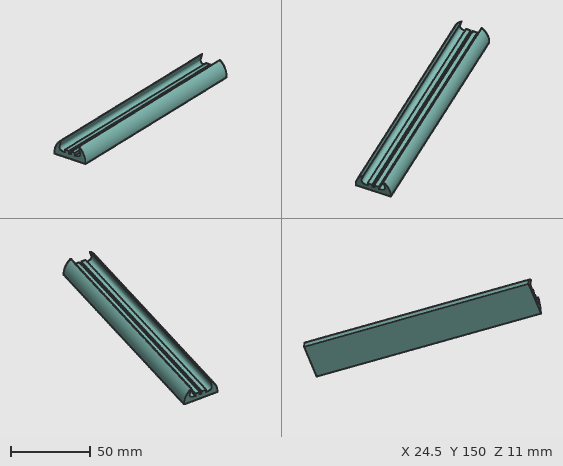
import cadquery as cq

length = 150.0
base_width = 24.5
height = 11.0

lip_half_gap = 6.9
flank_mid_x = 11.1
flank_mid_z = 6.0

floor_z = 3.5
floor_start_x = 3.9
corner_x = 8.8
corner_z = 4.2
corner_radius = 2.4

rib_outer_x = floor_start_x
groove_half_width = 0.8
rib_top_z = 5.4
groove_floor_z = 3.6


def extrude_along_y(sketch):
    """Extrude an XZ outline over the rail length, centred on Y = 0."""
    return sketch.extrude(length / 2, both=True)


def make_body():
    """Solid rail with curved flanks and a flat top between the lips."""
    outline = (
        cq.Workplane("XZ")
        .moveTo(-base_width / 2, 0)
        .lineTo(base_width / 2, 0)
        .threePointArc((flank_mid_x, flank_mid_z), (lip_half_gap, height))
        .lineTo(-lip_half_gap, height)
        .threePointArc((-flank_mid_x, flank_mid_z), (-base_width / 2, 0))
        .close()
    )
    return extrude_along_y(outline)


def make_channel():
    """Volume of the open channel, with its two lower corners rounded."""
    right_side = [
        (floor_start_x, floor_z),
        (corner_x, corner_z),
        (lip_half_gap, height),
    ]
    left_side = [(-x, z) for x, z in reversed(right_side)]
    channel = extrude_along_y(cq.Workplane("XZ").polyline(right_side + left_side).close())
    for corner in ("<X", ">X"):
        channel = channel.edges("|Y").edges(corner).fillet(corner_radius)
    return channel


def make_rib(side):
    """Rectangular rib on one side of the groove; side is -1 or 1."""
    rib_width = rib_outer_x - groove_half_width
    rib_centre_x = side * (rib_outer_x + groove_half_width) / 2
    return (
        cq.Workplane("XY")
        .box(rib_width, length, rib_top_z, centered=(True, True, False))
        .translate((rib_centre_x, 0, 0))
    )


def make_groove_floor():
    """Strip that sets the floor level between the ribs."""
    return cq.Workplane("XY").box(
        2 * groove_half_width, length, groove_floor_z, centered=(True, True, False)
    )


result = make_body().cut(make_channel()).union(make_groove_floor())
for rib_side in (-1, 1):
    result = result.union(make_rib(rib_side))